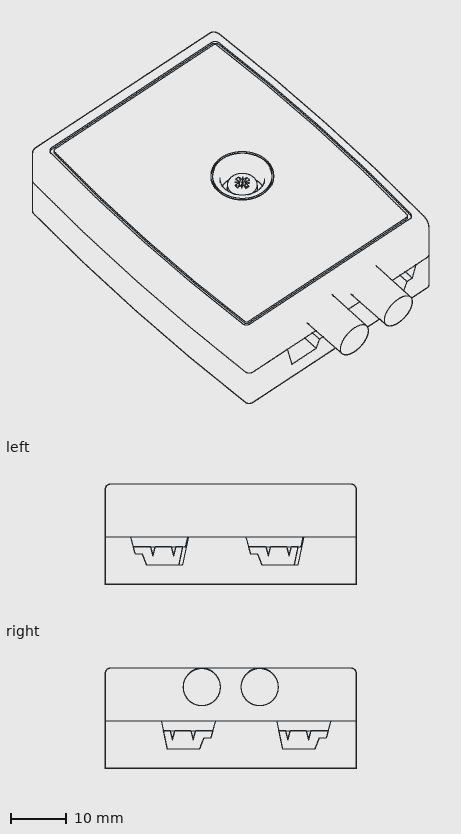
import cadquery as cq
import math

box_length = 60.0
box_mid_width = 44.95
box_end_width = 43.0
box_height = 18.0
parting_height = 8.5
side_round = 1.0
end_round = 2.0
half_length = box_length / 2
pick_margin = 0.1

label_thickness = 0.5
recess_margin = 0.8
label_gap = 0.6
recess_corner = 1.0
label_corner = 0.5

screw_y = 2.7
label_hole_diameter = 11.3
collar_diameter = 10.65
well_diameter = 8.0
well_round = 1.0
well_depth = 5.0

head_diameter = 5.6
head_edge_diameter = 5.3
head_edge_depth = 2.5
head_crown_depth = 1.75
cross_length = 3.3
cross_width = 0.7
cross_depth = 1.25
crease_length = 3.3
crease_width = 0.1
crease_depth = 0.85

cable_diameter = 6.8
cable_tip_diameter = 6.65
cable_reach = 10.0
cable_ys = (-5.2, 5.2)
cable_top_clearance = 0.035
cable_root = 4.2
cable_root_round = 0.5

slot_shifts = (0, -20.65)
slot_floor = 3.5
slot_step_height = 5.45
slot_top_outer = 17.9
slot_top_inner = 7.55
slot_floor_outer = 15.05
slot_floor_inner = 8.6
slot_step_outer = 17.1
slot_step_inner = 15.8
slot_narrowing = 0.7
tongue_bottom = 6.7
tongue_start = -15.0
tongue_length = 10.0
spike_diameter = 0.85
spike_height = 1.6
spike_ys = (13.9, 10.2)


def bowed_plate(inset_x, inset_y, bottom, height):
    """Plate shaped like the box from above, with its sides moved inward."""
    x = half_length - inset_x
    end_y = box_end_width / 2 - inset_y
    mid_y = box_mid_width / 2 - inset_y
    return (
        cq.Workplane("XY", origin=(0, 0, bottom))
        .moveTo(-x, -end_y)
        .threePointArc((0, -mid_y), (x, -end_y))
        .lineTo(x, end_y)
        .threePointArc((0, mid_y), (-x, end_y))
        .close()
        .extrude(height)
    )


def disc(diameter, bottom, height):
    """Upright cylinder on the screw axis."""
    return cq.Workplane("XY", origin=(0, screw_y, bottom)).circle(diameter / 2).extrude(height)


def slot_section(x, narrowing):
    """Stepped slot outline at one X, open at the parting plane."""
    points = [
        (slot_top_outer, parting_height),
        (slot_step_outer, slot_step_height),
        (slot_step_inner, slot_step_height),
        (slot_floor_outer, slot_floor),
        (slot_floor_inner + narrowing, slot_floor),
        (slot_top_inner + narrowing, parting_height),
    ]
    return cq.Wire.makePolygon([cq.Vector(x, y, z) for y, z in points], close=True)


def slot(shift):
    """Solid filling a slot along the whole box; its inner wall closes in toward +X."""
    near = slot_section(-half_length, 0)
    far = slot_section(half_length, slot_narrowing)
    return cq.Workplane(cq.Solid.makeLoft([near, far], True)).translate((0, shift, 0))


def make_base():
    """Lower half of the box, with two cable slots open to the parting plane."""
    base = bowed_plate(0, 0, 0, parting_height).edges("|Z").fillet(side_round)
    for shift in slot_shifts:
        base = base.cut(slot(shift))
    return base


def make_cable(y):
    """Round stub along X, tapering slightly outside the lid."""
    axis_height = box_height - cable_top_clearance - cable_diameter / 2
    profile = [
        (half_length - cable_root, 0),
        (half_length - cable_root, cable_diameter / 2),
        (half_length, cable_diameter / 2),
        (half_length + cable_reach, cable_tip_diameter / 2),
        (half_length + cable_reach, 0),
    ]
    stub = cq.Workplane("XY").polyline(profile).close().revolve(360, (0, 0, 0), (1, 0, 0))
    return stub.translate((0, y, axis_height))


def add_cable(lid, y):
    """Join a cable stub to the lid and round the corner where it leaves the lid."""
    lid = lid.union(make_cable(y))
    reach = cable_diameter / 2 + pick_margin
    around_root = cq.selectors.BoxSelector(
        (half_length - end_round, y - reach, parting_height),
        (half_length + pick_margin, y + reach, box_height),
    )
    seam_height = box_height - end_round
    root_edges = lid.edges(around_root).filter(
        lambda edge: edge.geomType() != "CIRCLE" or edge.Center().z < seam_height
    )
    return lid.newObject(root_edges.vals()).fillet(cable_root_round)


def recess_plate(gap, corner):
    """Plate on the top of the lid, held back from the recess wall by a gap."""
    inset_x = end_round + recess_margin + gap
    inset_y = side_round + recess_margin + gap
    plate = bowed_plate(inset_x, inset_y, box_height - label_thickness, label_thickness)
    return plate.edges("|Z").fillet(corner)


def make_tongue(shift):
    """Clamp block that fills the top of a slot, with spikes pointing down."""
    block = (
        cq.Workplane("XY")
        .box(tongue_length, box_end_width, parting_height - tongue_bottom, centered=(False, True, False))
        .translate((tongue_start, 0, tongue_bottom))
    )
    tongue = block.intersect(slot(shift))
    spike = cq.Solid.makeCone(spike_diameter / 2, 0, spike_height, dir=cq.Vector(0, 0, -1))
    for y in spike_ys:
        place = (tongue_start + tongue_length / 2, y + shift, tongue_bottom)
        tongue = tongue.union(cq.Workplane(spike.translate(cq.Vector(*place))))
    return tongue


def make_lid():
    """Upper half of the box, with cable stubs, label recess, screw well and clamp tongues."""
    lid = bowed_plate(0, 0, parting_height, box_height - parting_height)
    lid = lid.faces(">Z").edges("|Y").fillet(end_round)
    lid = lid.edges("|Z").fillet(side_round)
    for y in cable_ys:
        lid = add_cable(lid, y)

    collar = disc(collar_diameter, box_height - label_thickness, label_thickness)
    lid = lid.cut(recess_plate(0, recess_corner).cut(collar))

    lid = lid.cut(disc(well_diameter, box_height - well_depth, well_depth))
    rim = cq.selectors.BoxSelector(
        (-well_diameter, screw_y - well_diameter, box_height - pick_margin),
        (well_diameter, screw_y + well_diameter, box_height + pick_margin),
    )
    lid = lid.edges(rim).edges(cq.selectors.RadiusNthSelector(0)).fillet(well_round)

    for shift in slot_shifts:
        lid = lid.union(make_tongue(shift))
    return lid


def make_label():
    """Label plate with a round hole that clears the collar of the screw well."""
    hole = disc(label_hole_diameter, box_height - label_thickness, label_thickness)
    return recess_plate(label_gap, label_corner).cut(hole)


def tapered_blade(length, width, depth, angle):
    """Upright blade on the screw axis that narrows downward from the crown of the head."""
    top = box_height - head_crown_depth
    bottom = top - depth
    return (
        cq.Workplane("XZ", origin=(0, width / 2, 0))
        .polyline([(-length / 2, top), (length / 2, top), (width / 2, bottom), (-width / 2, bottom)])
        .close()
        .extrude(width)
        .rotate((0, 0, 0), (0, 0, 1), angle)
        .translate((0, screw_y, 0))
    )


def make_screw():
    """Domed screw head with a tapered cross recess, standing on the floor of the well."""
    radius = head_edge_diameter / 2
    rise = head_edge_depth - head_crown_depth
    dome_radius = (radius**2 + rise**2) / (2 * rise)
    half_angle = math.asin(radius / dome_radius) / 2
    dome_x = dome_radius * math.sin(half_angle)
    dome_z = box_height - head_crown_depth - dome_radius * (1 - math.cos(half_angle))
    head = (
        cq.Workplane("XZ", origin=(0, screw_y, 0))
        .moveTo(0, box_height - well_depth)
        .lineTo(head_diameter / 2, box_height - well_depth)
        .lineTo(radius, box_height - head_edge_depth)
        .threePointArc((dome_x, dome_z), (0, box_height - head_crown_depth))
        .close()
        .revolve(360, (0, 0, 0), (0, 1, 0))
    )
    for angle in (0, 90):
        head = head.cut(tapered_blade(cross_length, cross_width, cross_depth, angle))
        head = head.cut(tapered_blade(crease_length, crease_width, crease_depth, angle + 45))
    return head


base = make_base()
lid = make_lid()
label = make_label()
screw = make_screw()
result = cq.Compound.makeCompound([base.val(), lid.val(), label.val(), screw.val()])